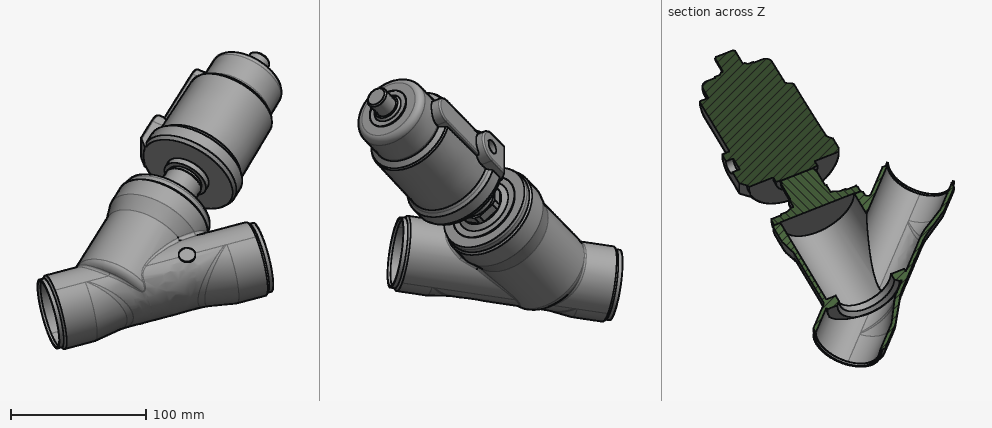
import cadquery as cq
import math


PIPE_RADIUS = 28.2
PIPE_WALL = 3.3
INLET_END = -48.7
OUTLET_END = 117.5
LIP_STEP = 1.8
LIP_LENGTH = 3.3
SOCKET_RADIUS = 25.2
SOCKET_DEPTH = 2.0
WAIST_DEPTH = 22.5
WAIST_START = -20.2
WAIST_END = 90.0
OUTER_BAND = (1.0, 23.0, 46)
INNER_BAND = (2.0, WAIST_DEPTH, 51)
PAD_RADIUS = 6.2
PAD_STATION = 59.0
PAD_HEIGHT = 0.3

BARREL_RADIUS = 33.67
BARREL_FILLET = 7.0
BARREL_TOP = 57.5
HEAD_RADIUS = 37.0
HEAD_BOTTOM = 70.3
HEAD_TOP = 86.5
HEAD_CHAMFER = 1.5
SEAT_RADIUS = 22.5
SEAT_CHAMFER = 3.0
SEAT_DEPTH = 9.0
CHAMBER_RADIUS = 30.3
BRANCH_FILLET = 2.5

BONNET_RADIUS = HEAD_RADIUS - HEAD_CHAMFER
BONNET_LIP = 0.5
BONNET_LIP_BOTTOM = 90.5
BONNET_TOP = 92.5
BONNET_STEP_RADIUS = 26.7
BONNET_STEP_TOP = 93.5
CONE_RADIUS = 21.5
CONE_TOP = 95.5
HEX_FLATS = 31.0
HEX_CORNER_RADIUS = 16.75
HEX_TOP = 102.7
NECK_RADIUS = 14.5
GROOVE_RADIUS = 13.5
GROOVE_BOTTOM = 118.5

COLLAR_BOTTOM = 121.0
COLLAR_RADIUS = 17.2
FLANGE_BOTTOM = 125.8
FLANGE_RADIUS = 38.42
FLANGE_CHAMFER_WIDTH = 1.5
FLANGE_CHAMFER_HEIGHT = 3.3
FLANGE_TOP = 138.8
FLANGE_SHOULDER = 141.2
FLANGE_SHOULDER_RADIUS = 36.2
HOUSING_BOTTOM = 143.0
HOUSING_BOTTOM_RADIUS = 35.0
HOUSING_TOP = 195.8
HOUSING_TOP_RADIUS = 34.0
SHOULDER_RADIUS = 33.2
SHOULDER_BOTTOM = 197.3
SHOULDER_TOP = 200.0
CAP_BOTTOM = 201.7
CAP_BOTTOM_RADIUS = 28.8
CAP_TOP = 226.7
CAP_TOP_RADIUS = 28.5
CAP_FILLET = 5.3
DISC_RADIUS = 15.7
DISC_TOP = 227.5
BOSS_BOTTOM_RADIUS = 11.5
BOSS_TOP_RADIUS = 9.8
BOSS_TOP = 229.3
STUB_RADIUS = 8.3
STUB_TOP = 243.5
STUB_CHAMFER = 1.2

RAIL_HALF_WIDTH = 10.0
RAIL_FACE = -36.0
RAIL_CENTRE = 202.3
LUG_HALF_WIDTH = 12.8
LUG_FACE = -42.0
LUG_CENTRE = 149.0
LUG_CHAMFER = 6.2
LUG_HOLE_RADIUS = 5.3
LUG_HOLE_DEPTH = 6.0
BRACKET_FILLET = 1.2

ROOT_TWO = math.sqrt(2)


def turned(points):
    """Solid turned about the Y axis from (radius, y) outline points."""
    return cq.Workplane("XY").polyline(points).close().revolve(360, (0, 0), (0, 1))


def disc(radius, bottom, top):
    return turned([(0, bottom), (radius, bottom), (radius, top), (0, top)])


def pipe_plane(station, waist_angle=-45):
    """Plane through the pipe axis at a station.

    Its local x points to the waisted side, at an angle in degrees from X.
    At -45 the plane is square to the pipe; at other angles it cuts the pipe obliquely.
    """
    angle = math.radians(waist_angle)
    return cq.Plane(
        origin=(station / ROOT_TWO, station / ROOT_TWO, 0),
        xDir=(math.cos(angle), math.sin(angle), 0),
        normal=(-math.sin(angle), math.cos(angle), 0),
    )


def pipe_cylinder(radius, start, end):
    return cq.Workplane(pipe_plane(start)).circle(radius).extrude(end - start)


def half_section(plane, depth, half_height):
    """Closed half ellipse on the waisted side of the pipe axis."""
    outline = cq.Workplane(plane).ellipseArc(depth, half_height, -90, 90, startAtCurrent=False)
    return outline.close().val()


def band_section(band, waist_limit, inward, inset):
    """Oblique half section next to one end of the waist, leaning towards its middle."""
    offset, depth, tilt = band
    plane = pipe_plane(waist_limit + inward * offset, -45 + inward * tilt)
    return half_section(plane, (depth - inset) / math.cos(math.radians(tilt)), PIPE_RADIUS - inset)


def waisted_pipe(inset):
    """Pipe with its far side drawn in between the ends, offset inwards by the inset."""
    radius = PIPE_RADIUS - inset
    near_side = cq.Workplane(pipe_plane(INLET_END)).center(-radius, 0)
    near_side = near_side.rect(2 * radius, 2 * radius).extrude(OUTLET_END - INLET_END)
    near_side = near_side.intersect(pipe_cylinder(radius, INLET_END, OUTLET_END))

    sections = [
        half_section(pipe_plane(INLET_END), radius, radius),
        half_section(pipe_plane(WAIST_START), radius, radius),
        band_section(OUTER_BAND, WAIST_START, 1, inset),
        band_section(INNER_BAND, WAIST_START, 1, inset),
        band_section(INNER_BAND, WAIST_END, -1, inset),
        band_section(OUTER_BAND, WAIST_END, -1, inset),
        half_section(pipe_plane(WAIST_END), radius, radius),
        half_section(pipe_plane(OUTLET_END), radius, radius),
    ]
    far_side = cq.Workplane(cq.Solid.makeLoft(sections, True))
    return near_side.union(far_side)


def end_steps():
    """Rings removed from both pipe ends, leaving a thin lip behind a 45 degree shoulder."""
    lip_radius = PIPE_RADIUS - LIP_STEP
    outer = 2 * PIPE_RADIUS
    rings = cq.Workplane()
    for end, inward in ((INLET_END, 1), (OUTLET_END, -1)):
        lip_end = inward * LIP_LENGTH
        shoulder_end = lip_end + inward * (outer - lip_radius)
        ring = (
            turned([(lip_radius, 0), (outer, 0), (outer, shoulder_end), (lip_radius, lip_end)])
            .rotate((0, 0, 0), (0, 0, 1), -45)
            .translate((end / ROOT_TWO, end / ROOT_TWO, 0))
        )
        rings = rings.add(ring)
    return rings.combine()


def barrel_solid():
    barrel = turned([
        (0, 0),
        (BARREL_RADIUS, 0),
        (BARREL_RADIUS, BARREL_TOP),
        (HEAD_RADIUS, HEAD_BOTTOM),
        (HEAD_RADIUS, HEAD_TOP - HEAD_CHAMFER),
        (HEAD_RADIUS - HEAD_CHAMFER, HEAD_TOP),
        (0, HEAD_TOP),
    ])
    return barrel.faces("<Y").edges().fillet(BARREL_FILLET)


def seat_and_chamber():
    """Chamfered seat opening in the barrel floor, leading to the chamber under the bonnet."""
    return turned([
        (0, 0),
        (SEAT_RADIUS + SEAT_CHAMFER, 0),
        (SEAT_RADIUS, SEAT_CHAMFER),
        (SEAT_RADIUS, SEAT_DEPTH),
        (CHAMBER_RADIUS, SEAT_DEPTH),
        (CHAMBER_RADIUS, HEAD_TOP),
        (0, HEAD_TOP),
    ])


def make_valve_body():
    """Pipe and barrel in one casting; the seat divides the inlet bore from the outlet bore."""
    pad = cq.Workplane("XY").center(PAD_STATION / ROOT_TWO, PAD_STATION / ROOT_TWO)
    pad = pad.circle(PAD_RADIUS).extrude(PIPE_RADIUS + PAD_HEIGHT)
    bore = waisted_pipe(PIPE_WALL).cut(disc(BARREL_RADIUS, 0, SEAT_DEPTH))

    casting = waisted_pipe(0).union(barrel_solid())
    casting = casting.edges("%BSPLINE").fillet(BRANCH_FILLET)
    casting = casting.cut(end_steps()).union(pad)
    for socket_start in (INLET_END, OUTLET_END - SOCKET_DEPTH):
        casting = casting.cut(pipe_cylinder(SOCKET_RADIUS, socket_start, socket_start + SOCKET_DEPTH))
    return casting.cut(bore).cut(seat_and_chamber())


def make_bonnet():
    """Cap on the barrel head with a raised cone, hexagon and neck."""
    cap = turned([
        (0, HEAD_TOP),
        (BONNET_RADIUS, HEAD_TOP),
        (BONNET_RADIUS, BONNET_LIP_BOTTOM),
        (BONNET_RADIUS - BONNET_LIP, BONNET_TOP),
        (BONNET_STEP_RADIUS, BONNET_TOP),
        (BONNET_STEP_RADIUS, BONNET_STEP_TOP),
        (CONE_RADIUS, BONNET_STEP_TOP),
        (HEX_CORNER_RADIUS, CONE_TOP),
        (0, CONE_TOP),
    ])
    hexagon = (
        cq.Workplane("XZ", origin=(0, CONE_TOP, 0))
        .polygon(6, HEX_FLATS, circumscribed=True)
        .extrude(CONE_TOP - HEX_TOP)
        .intersect(disc(HEX_CORNER_RADIUS, CONE_TOP, HEX_TOP))
    )
    neck = disc(NECK_RADIUS, HEX_TOP, GROOVE_BOTTOM)
    groove = disc(GROOVE_RADIUS, GROOVE_BOTTOM, COLLAR_BOTTOM)
    return cap.union(hexagon).union(neck).union(groove)


def actuator_housing():
    cap_fillet_rim = CAP_TOP_RADIUS - CAP_FILLET
    cap_fillet_start = CAP_TOP - CAP_FILLET
    fillet_middle = CAP_FILLET / ROOT_TWO
    outline = (
        cq.Workplane("XY")
        .moveTo(0, COLLAR_BOTTOM)
        .lineTo(COLLAR_RADIUS, COLLAR_BOTTOM)
        .lineTo(COLLAR_RADIUS, FLANGE_BOTTOM)
        .lineTo(FLANGE_RADIUS - FLANGE_CHAMFER_WIDTH, FLANGE_BOTTOM)
        .lineTo(FLANGE_RADIUS, FLANGE_BOTTOM + FLANGE_CHAMFER_HEIGHT)
        .lineTo(FLANGE_RADIUS, FLANGE_TOP)
        .lineTo(FLANGE_SHOULDER_RADIUS, FLANGE_SHOULDER)
        .lineTo(HOUSING_BOTTOM_RADIUS, HOUSING_BOTTOM)
        .lineTo(HOUSING_TOP_RADIUS, HOUSING_TOP)
        .lineTo(SHOULDER_RADIUS, SHOULDER_BOTTOM)
        .lineTo(CAP_BOTTOM_RADIUS, SHOULDER_TOP)
        .lineTo(CAP_BOTTOM_RADIUS, CAP_BOTTOM)
        .lineTo(CAP_TOP_RADIUS, cap_fillet_start)
        .threePointArc(
            (cap_fillet_rim + fillet_middle, cap_fillet_start + fillet_middle),
            (cap_fillet_rim, CAP_TOP),
        )
        .lineTo(DISC_RADIUS, CAP_TOP)
        .lineTo(DISC_RADIUS, DISC_TOP)
        .lineTo(BOSS_BOTTOM_RADIUS, DISC_TOP)
        .lineTo(BOSS_TOP_RADIUS, BOSS_TOP)
        .lineTo(STUB_RADIUS, BOSS_TOP)
        .lineTo(STUB_RADIUS, STUB_TOP - STUB_CHAMFER)
        .lineTo(STUB_RADIUS - STUB_CHAMFER, STUB_TOP)
        .lineTo(0, STUB_TOP)
        .close()
    )
    return outline.revolve(360, (0, 0), (0, 1))


def bracket_plate(face, half_width, centre):
    """Plate from the actuator axis out to its face, rounded off at the top."""
    straight = centre - FLANGE_BOTTOM
    plate = (
        cq.Workplane("YZ", origin=(face, 0, 0))
        .moveTo(FLANGE_BOTTOM, -half_width)
        .line(straight, 0)
        .threePointArc((centre + half_width, 0), (centre, half_width))
        .line(-straight, 0)
        .close()
        .extrude(-face)
    )
    return plate.faces("<X").edges("not <Y").fillet(BRACKET_FILLET)


def side_bracket():
    rail = bracket_plate(RAIL_FACE, RAIL_HALF_WIDTH, RAIL_CENTRE)
    lug = bracket_plate(LUG_FACE, LUG_HALF_WIDTH, LUG_CENTRE)
    corner = (
        cq.Workplane("XY", origin=(0, 0, -LUG_HALF_WIDTH))
        .moveTo(LUG_FACE, FLANGE_BOTTOM)
        .line(LUG_CHAMFER, 0)
        .line(-LUG_CHAMFER, LUG_CHAMFER)
        .close()
        .extrude(2 * LUG_HALF_WIDTH)
    )
    hole = (
        cq.Workplane("YZ", origin=(LUG_FACE, 0, 0))
        .center(LUG_CENTRE, 0)
        .circle(LUG_HOLE_RADIUS)
        .extrude(LUG_HOLE_DEPTH)
    )
    return rail.union(lug).cut(corner), hole


def make_actuator():
    bracket, hole = side_bracket()
    return actuator_housing().union(bracket).cut(hole)


valve_body = make_valve_body()
bonnet = make_bonnet()
actuator = make_actuator()

result = cq.Compound.makeCompound([valve_body.val(), bonnet.val(), actuator.val()])